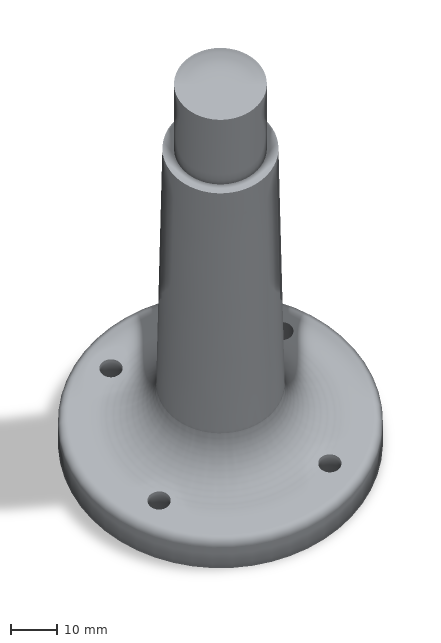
import cadquery as cq

total_height = 122.0

flange_diameter = 70.0
flange_thickness = 9.0
rim_round = 2.0

spigot_diameter = 20.0
spigot_length = 22.0
column_top_diameter = 25.0
column_bottom_diameter = 27.7
column_bottom_z = 20.0
flare_diameter = 51.7

hole_count = 4
hole_diameter = 5.0
hole_circle_diameter = 54.0

flange_radius = flange_diameter / 2
spigot_radius = spigot_diameter / 2
column_top_radius = column_top_diameter / 2
column_bottom_radius = column_bottom_diameter / 2
flare_radius = flare_diameter / 2

flare_width = flare_radius - column_bottom_radius
flare_height = column_bottom_z - flange_thickness
flare_arc_radius = (flare_width**2 + flare_height**2) / (2 * flare_height)

shoulder_z = total_height - spigot_length


def make_flange():
    """Disc with a rounded upper rim."""
    disc = cq.Workplane("XY").circle(flange_radius).extrude(flange_thickness)
    return disc.faces(">Z").edges().fillet(rim_round)


def make_column():
    """Half profile of flare, taper and spigot, revolved about Z."""
    profile = (
        cq.Workplane("XZ")
        .lineTo(flare_radius, 0)
        .lineTo(flare_radius, flange_thickness)
        .radiusArc((column_bottom_radius, column_bottom_z), flare_arc_radius)
        .lineTo(column_top_radius, shoulder_z)
        .lineTo(spigot_radius, shoulder_z)
        .lineTo(spigot_radius, total_height)
        .lineTo(0, total_height)
        .close()
    )
    return profile.revolve(360, (0, 0, 0), (0, 1, 0))


def make_hole_cutters():
    """Through holes on a circle, starting on the X axis; they also cut the edge of the flare."""
    return (
        cq.Workplane("XY")
        .polarArray(hole_circle_diameter / 2, 0, 360, hole_count)
        .circle(hole_diameter / 2)
        .extrude(column_bottom_z)
    )


result = make_flange().union(make_column()).cut(make_hole_cutters())